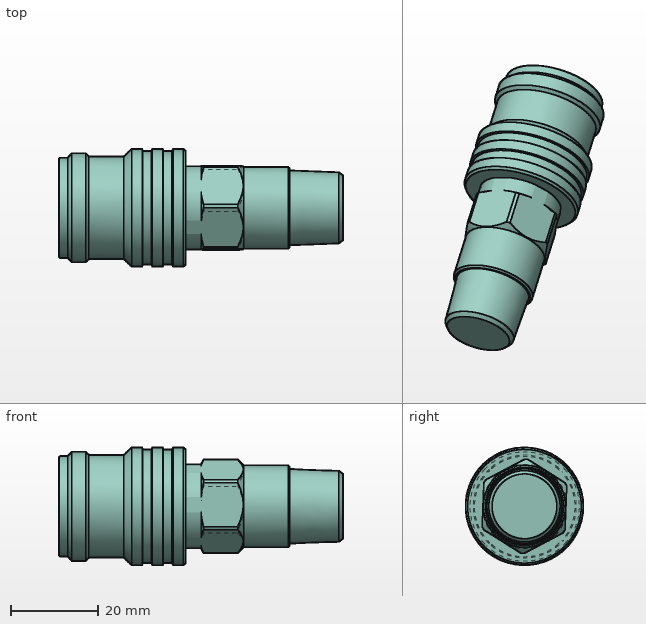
import cadquery as cq
import math

TOTAL_LENGTH = 65.0

rim_d = 23.0
rim_fillet = 0.45
rim_x1 = 2.0
ring_d = 25.0
ring_x0 = 3.0
ring_x1 = 6.1
neck_d = 23.5
neck_x0 = 6.9
neck_x1 = 14.9

collar_d = 27.0
collar_x0 = 16.65
collar_x1 = 29.05
groove_d = 26.0
land_width = 2.4
groove_front_ramp = 0.1
groove_floor = 1.95
groove_rear_ramp = 0.25
groove_count = 2
collar_chamfer_length = 0.6

shank_d = 19.3
hex_across_flats = 19.0
hex_corner_d = 21.45
hex_tilt = 2.2
hex_x0 = 32.5
hex_lead_in = 0.6
hex_x1 = 42.25

body_d = 18.8
body_x1 = 52.85
body_chamfer = 0.45
taper_start_d = 17.15
taper_end_d = 16.3
end_chamfer_length = 1.0
end_d = 14.8


def revolve_profile(points):
    """Turn (x, diameter) points, closed along the axis, about the X axis."""
    outline = [(x, diameter / 2) for x, diameter in points]
    x_first = points[0][0]
    x_last = points[-1][0]
    closed = [(x_first, 0)] + outline + [(x_last, 0)]
    return cq.Workplane("XY").polyline(closed).close().revolve(360, (0, 0, 0), (1, 0, 0))


def make_sleeve():
    """Front sleeve: filleted rim, raised ring, plain neck and grooved collar."""
    points = [
        (0, rim_d),
        (rim_x1, rim_d),
        (ring_x0, ring_d),
        (ring_x1, ring_d),
        (neck_x0, neck_d),
        (neck_x1, neck_d),
        (collar_x0, collar_d),
    ]
    groove_pitch = land_width + groove_front_ramp + groove_floor + groove_rear_ramp
    for index in range(groove_count):
        groove_x = collar_x0 + land_width + index * groove_pitch
        floor_start = groove_x + groove_front_ramp
        floor_end = floor_start + groove_floor
        points += [
            (groove_x, collar_d),
            (floor_start, groove_d),
            (floor_end, groove_d),
            (floor_end + groove_rear_ramp, collar_d),
        ]
    points += [(collar_x1 - collar_chamfer_length, collar_d), (collar_x1, groove_d)]
    return revolve_profile(points).faces("<X").edges().fillet(rim_fillet)


def make_wrench_section():
    """Shank and chamfered hexagon, sharing the same six flats."""
    hex_chamfer = (hex_corner_d - body_d) / 2
    blank = revolve_profile([
        (collar_x1, shank_d),
        (hex_x0, shank_d),
        (hex_x0 + hex_lead_in, hex_corner_d),
        (hex_x1 - hex_chamfer, hex_corner_d),
        (hex_x1, body_d),
    ])
    sharp_corner_d = hex_across_flats / math.cos(math.radians(30))
    corner_from_y = 90 - hex_tilt
    prism = (
        cq.Workplane("YZ", origin=(collar_x1, 0, 0))
        .polygon(6, sharp_corner_d)
        .extrude(hex_x1 - collar_x1)
        .rotate((0, 0, 0), (1, 0, 0), corner_from_y)
    )
    return blank.intersect(prism)


def make_rear_body():
    """Plain cylinder followed by the tapered, chamfered hose end."""
    return revolve_profile([
        (hex_x1, body_d),
        (body_x1 - body_chamfer, body_d),
        (body_x1, body_d - 2 * body_chamfer),
        (body_x1, taper_start_d),
        (TOTAL_LENGTH - end_chamfer_length, taper_end_d),
        (TOTAL_LENGTH, end_d),
    ])


result = make_sleeve().union(make_wrench_section()).union(make_rear_body())